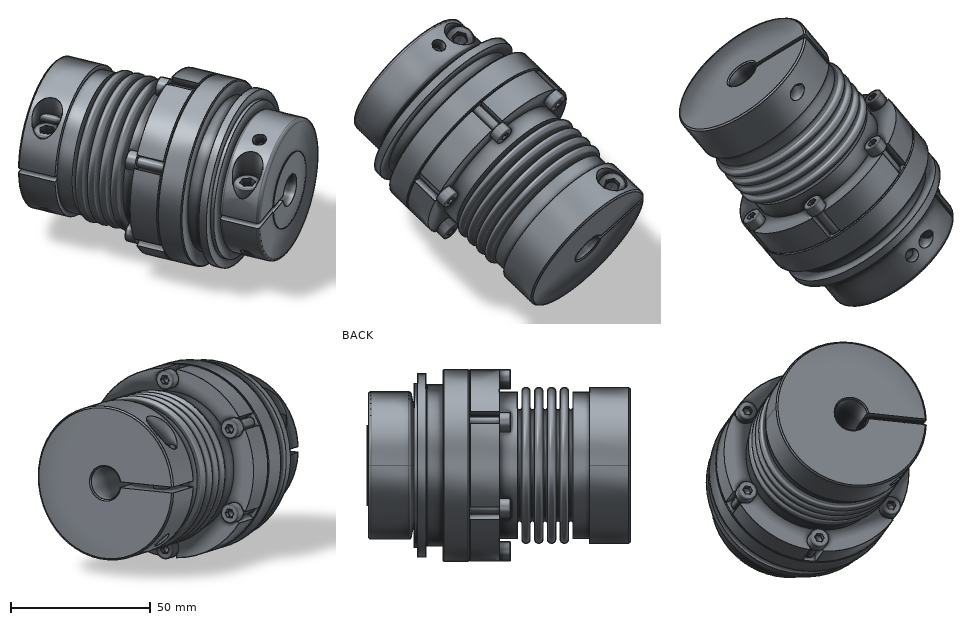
import cadquery as cq
import math


front_hub_end = 14.65
bellows_start = 20.6
bellows_end = 40.5
cap_start = 47.1
cap_end = 57.8
flange_end = 67.3
drum_end = 73.0
disc_start = 73.4
disc_end = 76.4
shelf_end = 77.7
rear_hub_start = 78.6
rear_hub_end = 94.1
total_length = 94.5

bore_dia = 12.0
front_hub_dia = 56.0
collar_dia = 52.6
bellows_dia = 56.0
bellows_root_dia = 40.0
flange_dia = 69.0
drum_dia = 58.0
drum_groove_dia = 55.0
disc_dia = 66.0
shelf_dia = 58.9
cone_dia = 41.2
rear_hub_dia = 53.0
rear_boss_dia = 28.7

hub_chamfer = 0.6
flange_chamfer = 0.4
rear_hub_fillet = 1.0
bore_chamfer = 0.5

crest_count = 4
crest_width = 3.0
root_width = (bellows_end - bellows_start - crest_count * crest_width) / (crest_count + 1)

cap_screw_count = 6
cap_screw_circle_radius = 30.9
cap_screw_head_dia = 7.0
cap_screw_head_height = 4.0
cap_screw_shank_dia = 4.0
cap_screw_socket = 3.0
cap_screw_socket_depth = 2.0
cap_screw_fillet = 0.3
cap_slot_width = 5.0

slit_width = 2.2
clamp_head_dia = 10.0
clamp_head_height = 6.0
clamp_head_fillet = 0.5
clamp_shank_dia = 6.0
clamp_shank_length = 20.0
clamp_socket = 5.0
clamp_socket_depth = 3.0
counterbore_dia = 11.0
tapped_hole_dia = 5.0
front_screw_x = 7.6
front_screw_y = -19.1
front_head_top = 14.2
rear_screw_x = 86.6
rear_screw_y = -19.5
rear_head_top = 12.85

pin_dia = 3.3
pin_length = 11.3
pin_y = -14.3

radial_hole_dia = 5.0
radial_hole_depth = 5.0
radial_hole_angles = (110, 240)

drill_point_angle = 118


def turned(x_start, x_end, diameter):
    return cq.Workplane("YZ").workplane(offset=x_start).circle(diameter / 2).extrude(x_end - x_start)


def drill_tip(diameter):
    """Cone pointing to -Z with its base centred on the origin."""
    height = diameter / 2 / math.tan(math.radians(drill_point_angle / 2))
    return cq.Workplane("XY").add(
        cq.Solid.makeCone(diameter / 2, 0, height, cq.Vector(0, 0, 0), cq.Vector(0, 0, -1))
    )


def socket_screw(
    head_dia, head_height, fillet, shank_dia, shank_length, socket, socket_depth, corner_angle
):
    """Socket head screw along Z with the top of its head at Z = 0."""
    head = cq.Workplane("XY").circle(head_dia / 2).extrude(-head_height).faces(">Z").edges().fillet(fillet)
    shank = cq.Workplane("XY").workplane(offset=-head_height).circle(shank_dia / 2).extrude(-shank_length)
    hexagon_dia = socket / math.cos(math.pi / 6)
    hexagon = cq.Workplane("XY").polygon(6, hexagon_dia).extrude(-socket_depth)
    hexagon = hexagon.rotate((0, 0, 0), (0, 0, 1), corner_angle)
    tip = drill_tip(socket).translate((0, 0, -socket_depth))
    return head.union(shank).cut(hexagon).cut(tip)


def bellows():
    crest_wall_r = (bellows_dia - crest_width) / 2
    root_wall_r = (bellows_root_dia + root_width) / 2
    x = bellows_start
    profile = cq.Workplane("XY").moveTo(x, 0).lineTo(x, root_wall_r)
    for wave in range(crest_count + 1):
        root_middle = (x + root_width / 2, bellows_root_dia / 2)
        profile = profile.threePointArc(root_middle, (x + root_width, root_wall_r))
        x += root_width
        if wave < crest_count:
            crest_middle = (x + crest_width / 2, bellows_dia / 2)
            profile = profile.lineTo(x, crest_wall_r)
            profile = profile.threePointArc(crest_middle, (x + crest_width, crest_wall_r))
            x += crest_width
            profile = profile.lineTo(x, root_wall_r)
    return profile.lineTo(x, 0).close().revolve(360, (0, 0, 0), (1, 0, 0))


def rear_hub():
    hub_r = rear_hub_dia / 2
    arc_rise = rear_hub_fillet * math.sin(math.pi / 4)
    arc_centre_r = hub_r - rear_hub_fillet
    arc_start_x = rear_hub_start + rear_hub_fillet
    arc_end_x = rear_hub_end - rear_hub_fillet
    return (
        cq.Workplane("XY")
        .moveTo(shelf_end, 0)
        .lineTo(shelf_end, cone_dia / 2)
        .lineTo(rear_hub_start, arc_centre_r)
        .threePointArc((arc_start_x - arc_rise, arc_centre_r + arc_rise), (arc_start_x, hub_r))
        .lineTo(arc_end_x, hub_r)
        .threePointArc((arc_end_x + arc_rise, arc_centre_r + arc_rise), (rear_hub_end, arc_centre_r))
        .lineTo(rear_hub_end, 0)
        .close()
        .revolve(360, (0, 0, 0), (1, 0, 0))
    )


def turned_body():
    cap = turned(cap_start, cap_end, flange_dia).faces(">X").chamfer(flange_chamfer)
    flange = turned(cap_end, flange_end, flange_dia).faces("<X or >X").chamfer(flange_chamfer)
    body = turned(0, front_hub_end, front_hub_dia).faces("<X").chamfer(hub_chamfer)
    sections = (
        turned(front_hub_end, bellows_start, collar_dia),
        bellows(),
        turned(bellows_end, cap_start, collar_dia),
        cap,
        flange,
        turned(flange_end, drum_end, drum_dia),
        turned(drum_end, disc_start, drum_groove_dia),
        turned(disc_start, disc_end, disc_dia),
        turned(disc_end, shelf_end, shelf_dia),
        rear_hub(),
        turned(rear_hub_end, total_length, rear_boss_dia),
    )
    for section in sections:
        body = body.union(section)
    body = body.cut(turned(0, total_length, bore_dia))
    bore_edge = cq.Workplane("XY").add(
        cq.Solid.makeCone(
            bore_dia / 2 + bore_chamfer, bore_dia / 2, bore_chamfer, cq.Vector(0, 0, 0), cq.Vector(1, 0, 0)
        )
    )
    return body.cut(bore_edge)


def add_cap_screws(body):
    slot_depth = flange_dia / 2 - cap_screw_circle_radius
    slot_length = cap_end - cap_start
    slot = (
        cq.Workplane("YZ")
        .workplane(offset=cap_start)
        .center(0, cap_screw_circle_radius)
        .circle(cap_slot_width / 2)
        .extrude(slot_length)
        .union(
            cq.Workplane("YZ")
            .workplane(offset=cap_start)
            .center(0, cap_screw_circle_radius + slot_depth)
            .rect(cap_slot_width, 2 * slot_depth)
            .extrude(slot_length)
        )
    )
    screw = (
        socket_screw(
            cap_screw_head_dia, cap_screw_head_height, cap_screw_fillet, cap_screw_shank_dia,
            slot_length, cap_screw_socket, cap_screw_socket_depth, 90,
        )
        .rotate((0, 0, 0), (0, 1, 0), -90)
        .translate((cap_start - cap_screw_head_height, 0, cap_screw_circle_radius))
    )
    for index in range(cap_screw_count):
        angle = index * 360 / cap_screw_count
        body = body.cut(slot.rotate((0, 0, 0), (1, 0, 0), angle))
        body = body.union(screw.rotate((0, 0, 0), (1, 0, 0), angle))
    return body


def cut_slit(body, x_start, x_end):
    slit = cq.Workplane("XY").box(x_end - x_start, flange_dia, slit_width, centered=(False, False, True))
    return body.cut(slit.translate((x_start, -flange_dia, 0)))


def add_clamp_screw(body, x, y, head_top, corner_angle):
    head_seat = head_top - clamp_head_height
    axis = cq.Workplane("XY").center(x, y)
    counterbore = axis.workplane(offset=head_seat).circle(counterbore_dia / 2).extrude(flange_dia)
    tapped_hole = axis.circle(tapped_hole_dia / 2).extrude(-flange_dia)
    screw = socket_screw(
        clamp_head_dia, clamp_head_height, clamp_head_fillet, clamp_shank_dia,
        clamp_shank_length, clamp_socket, clamp_socket_depth, corner_angle,
    )
    return body.cut(counterbore).cut(tapped_hole).union(screw.translate((x, y, head_top)))


def add_cross_pin(body):
    pin = turned(front_screw_x - pin_length / 2, front_screw_x + pin_length / 2, pin_dia)
    return body.union(pin.translate((0, pin_y, front_head_top + pin_dia / 2)))


def cut_radial_holes(body):
    floor_r = rear_hub_dia / 2 - radial_hole_depth
    hole = cq.Workplane("XY").circle(radial_hole_dia / 2).extrude(flange_dia).union(drill_tip(radial_hole_dia))
    hole = hole.translate((rear_screw_x, 0, floor_r))
    for angle in radial_hole_angles:
        body = body.cut(hole.rotate((0, 0, 0), (1, 0, 0), angle - 90))
    return body


result = turned_body()
result = add_cap_screws(result)
result = cut_slit(result, 0, front_hub_end)
result = cut_slit(result, shelf_end, total_length)
result = add_clamp_screw(result, front_screw_x, front_screw_y, front_head_top, 0)
result = add_clamp_screw(result, rear_screw_x, rear_screw_y, rear_head_top, 90)
result = add_cross_pin(result)
result = cut_radial_holes(result)